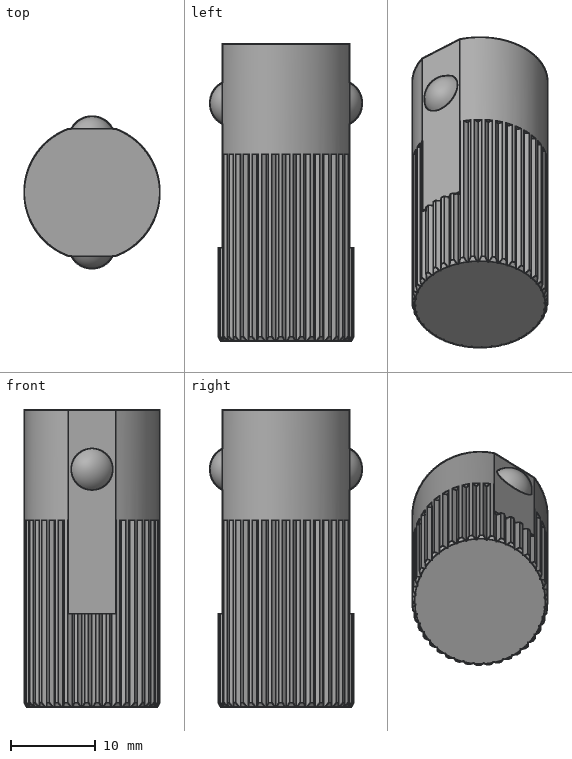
import cadquery as cq
import math

height = 35.0
body_diameter = 16.0
body_radius = body_diameter / 2

flat_offset = 7.5
flat_bottom = 11.0
flat_half_width = math.sqrt(body_radius**2 - flat_offset**2)

bump_height = 28.0
bump_tip = 9.0
bump_base_radius = 2.45
bump_rise = bump_tip - flat_offset
bump_radius = (bump_base_radius**2 + bump_rise**2) / (2 * bump_rise)

knurl_height = 22.0
groove_count = 40
groove_width = 0.85
groove_depth = 0.42

chamfer_height = 0.52
chamfer_width = 0.3


def make_body():
    """Plain round body, revolved from its half profile with the chamfered bottom edge."""
    return (
        cq.Workplane("XZ")
        .lineTo(body_radius - chamfer_width, 0)
        .lineTo(body_radius, chamfer_height)
        .lineTo(body_radius, height)
        .lineTo(0, height)
        .close()
        .revolve(360, (0, 0, 0), (0, 1, 0))
    )


def make_knurl_cutter():
    """V-shaped prisms around the axis, open a little beyond the body surface."""
    root_radius = body_radius - groove_depth
    half_width = groove_width / 2
    edge_radius = math.sqrt(body_radius**2 - half_width**2)
    open_radius = body_radius + groove_depth
    open_half_width = half_width * (open_radius - root_radius) / (edge_radius - root_radius)
    groove = (
        cq.Workplane("XY")
        .moveTo(root_radius, 0)
        .lineTo(open_radius, open_half_width)
        .lineTo(open_radius, -open_half_width)
        .close()
        .extrude(knurl_height)
    )
    grooves = [
        groove.rotate((0, 0, 0), (0, 0, 1), index * 360 / groove_count).val()
        for index in range(groove_count)
    ]
    return cq.Compound.makeCompound(grooves)


def make_flat_backing():
    """Solid core behind both flats, where the knurl grooves are filled in."""
    return (
        cq.Workplane("XY", origin=(0, 0, flat_bottom))
        .rect(2 * flat_half_width, 2 * flat_offset)
        .extrude(knurl_height - flat_bottom)
    )


def make_flat_cutter(side):
    """Block that removes everything outside the flat; side is -1 or +1 along Y."""
    center_y = side * (flat_offset + body_radius / 2)
    return (
        cq.Workplane("XY", origin=(0, center_y, flat_bottom))
        .rect(2 * body_radius, body_radius)
        .extrude(height - flat_bottom)
    )


def make_bump(side):
    """Sphere whose outer cap stands proud of the flat."""
    center_y = side * (bump_tip - bump_radius)
    return cq.Workplane("XY", origin=(0, center_y, bump_height)).sphere(bump_radius)


result = make_body().cut(make_knurl_cutter()).union(make_flat_backing())
for side in (-1, 1):
    result = result.cut(make_flat_cutter(side)).union(make_bump(side))